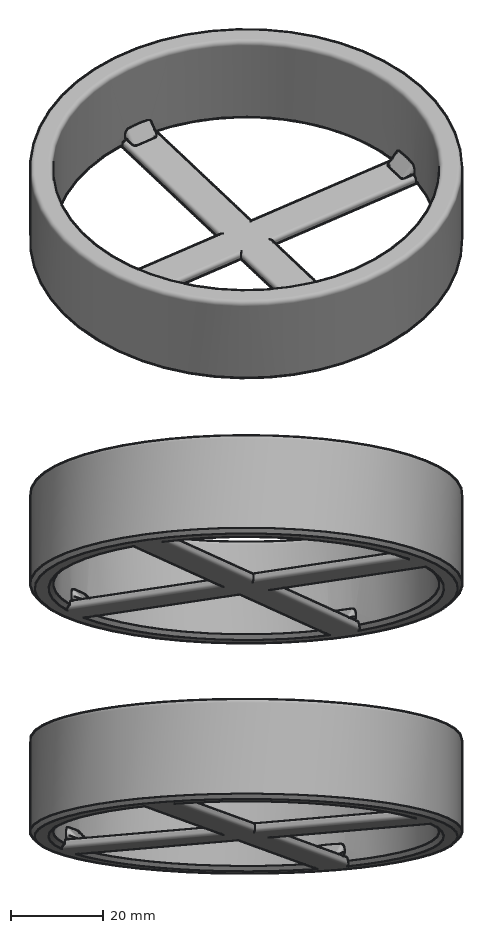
import cadquery as cq
import math

outer_diameter = 93.5
inner_diameter = 83.5
ring_height = 22.0
top_rounding = 1.0
bottom_chamfer = 1.0

arm_thickness = 2.0
arm_edge_rounding = 0.75
arm_flat_width = 7.0
arm_width = arm_flat_width + 2 * arm_edge_rounding

gusset_reach = 3.0
gusset_slope = 45.0
gusset_width = arm_flat_width
gusset_edge_rounding = 1.0
arm_count = 4

outer_radius = outer_diameter / 2
inner_radius = inner_diameter / 2
wall_middle_radius = (outer_radius + inner_radius) / 2


def make_ring():
    """Tube with rounded top edges and chamfered bottom edges."""
    ring = cq.Workplane("XY").circle(outer_radius).circle(inner_radius).extrude(ring_height)
    ring = ring.faces(">Z").edges().fillet(top_rounding)
    return ring.faces("<Z").edges().chamfer(bottom_chamfer)


def make_cross():
    """Two crossing arms with rounded top and bottom edges, ending inside the ring wall."""
    arm_length = 2 * wall_middle_radius
    arm_along_x = cq.Workplane("XY").rect(arm_length, arm_width).extrude(arm_thickness)
    arm_along_y = cq.Workplane("XY").rect(arm_width, arm_length).extrude(arm_thickness)
    return arm_along_x.union(arm_along_y).faces("<Z or >Z").edges().fillet(arm_edge_rounding)


def make_gusset(angle):
    """Wedge rising from an arm to the ring wall, rounded along its two sloped edges."""
    foot_radius = inner_radius - gusset_reach
    rise = (wall_middle_radius - foot_radius) * math.tan(math.radians(gusset_slope))
    wedge = (
        cq.Workplane("XZ")
        .moveTo(foot_radius, arm_thickness)
        .lineTo(wall_middle_radius, arm_thickness)
        .lineTo(wall_middle_radius, arm_thickness + rise)
        .close()
        .extrude(gusset_width / 2, both=True)
    )
    sloped_edges = wedge.faces("<X").edges("not |Y")
    wedge = sloped_edges.fillet(gusset_edge_rounding)
    return wedge.rotate((0, 0, 0), (0, 0, 1), angle)


result = make_ring().union(make_cross())
for arm in range(arm_count):
    result = result.union(make_gusset(arm * 360 / arm_count))